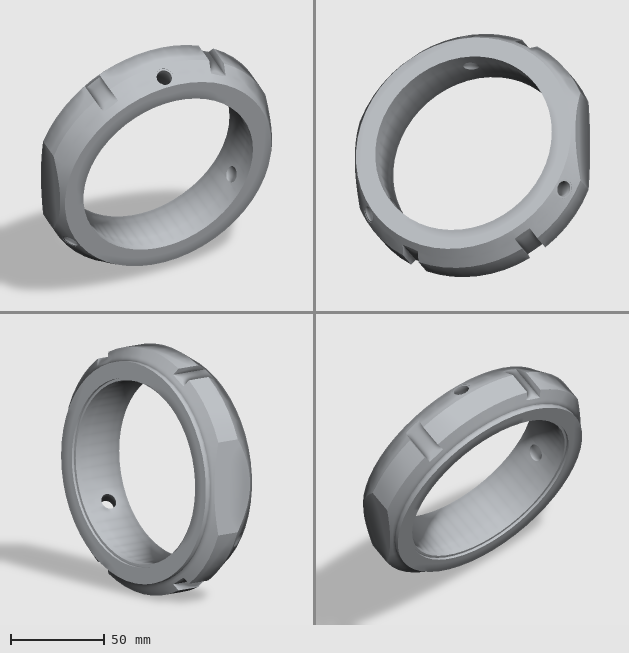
import cadquery as cq
import math

outer_radius = 67.5
flat_distance = 62.5
width = 32.0
collar_radius = 121.0 / 2
collar_width = 3.1
rim_start = 7.0
rim_end = 20.7
cone_angle = 30.0

bore_radius = 100.0 / 2
recess_radius = 103.0 / 2
recess_depth = 1.5

slot_width = 10.0
slot_floor_radius = 63.5
slot_end = 27.7
slot_angles = (30, 150, 210, 330)

hole_radius = 8.4 / 2
spotface_radius = 10.3 / 2
spotface_depth = 0.3
hole_x = 27.0
hole_length = 21.6
hole_angles = (0, 120, 240)

cone_slope = math.tan(math.radians(cone_angle))
origin = (0, 0, 0)
x_axis_end = (1, 0, 0)


def turn_about_x(shape, angle):
    return shape.rotate(origin, x_axis_end, angle)


def cone_radius(x):
    return outer_radius - (x - rim_end) * cone_slope


def turned_ring():
    profile = [
        (0, recess_radius),
        (0, collar_radius),
        (collar_width, collar_radius),
        (rim_start, outer_radius),
        (rim_end, outer_radius),
        (width, cone_radius(width)),
        (width, bore_radius),
        (recess_depth, bore_radius),
        (recess_depth, recess_radius),
    ]
    return cq.Workplane("XY").polyline(profile).close().revolve(360, origin, x_axis_end)


def slot_cutter():
    """Slot cut in through the narrow cone, running along X with a flat floor."""
    block = cq.Workplane("XY").box(slot_end, slot_width, outer_radius, centered=(False, True, False))
    return block.translate((0, 0, slot_floor_radius))


def hole_cutter():
    """Hole square to the cone, with a shallow flat spotface at its mouth."""
    tilt = math.radians(cone_angle)
    outward = cq.Vector(math.sin(tilt), 0, math.cos(tilt))
    mouth = cq.Vector(hole_x, 0, cone_radius(hole_x))
    overshoot = 1.4
    start = mouth + outward * overshoot
    drill = cq.Solid.makeCylinder(hole_radius, hole_length + overshoot, start, outward * -1)
    spotface = cq.Solid.makeCylinder(
        spotface_radius, spotface_depth + overshoot, start, outward * -1
    )
    return cq.Workplane(obj=drill).union(cq.Workplane(obj=spotface))


flats_envelope = cq.Workplane("XY").box(
    width, 2 * flat_distance, 2 * outer_radius, centered=(False, True, True)
)
result = turned_ring().intersect(flats_envelope)

for angle in slot_angles:
    result = result.cut(turn_about_x(slot_cutter(), angle))

for angle in hole_angles:
    result = result.cut(turn_about_x(hole_cutter(), angle))